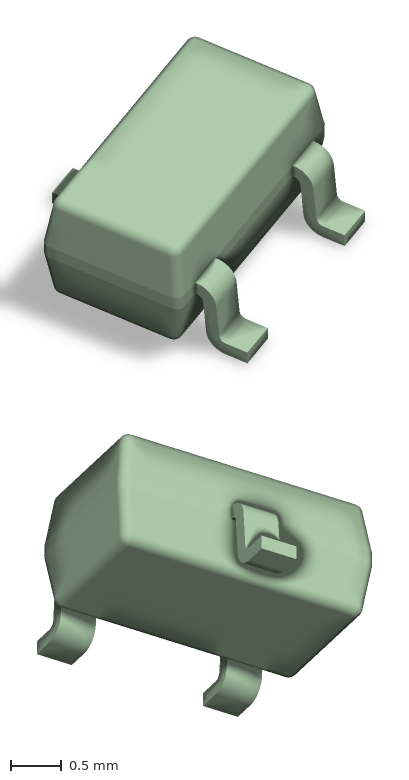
import cadquery as cq
import math


BODY_WIDTH = 1.6
BODY_LENGTH = 2.9
BODY_TOP = 1.4
STANDOFF = 0.1
DRAFT_ANGLE = 8.0
BODY_FILLET = 0.1

LEAD_SPAN = 2.8
LEAD_WIDTH = 0.4
LEAD_THICKNESS = 0.15
FOOT_FLAT = 0.25
INNER_BEND_RADIUS = LEAD_THICKNESS / 2
LEG_LEAN = 5.0
LEAD_PITCH = 0.95
LEAD_EMBED = 0.2

MARK_DIAMETER = 0.25
MARK_X = 0.35
MARK_Y = -0.83
MARK_DEPTH = 0.05

MID_Z = (BODY_TOP + STANDOFF) / 2
BAND_TOP = MID_Z + LEAD_THICKNESS / 2
BAND_BOTTOM = MID_Z - LEAD_THICKNESS / 2


def make_body():
    """Straight middle band with a drafted block above and below, all outer edges rounded."""
    drafted_height = BODY_TOP - BAND_TOP
    band = (
        cq.Workplane("XY", origin=(0, 0, BAND_BOTTOM))
        .rect(BODY_WIDTH, BODY_LENGTH)
        .extrude(LEAD_THICKNESS)
    )
    upper = (
        cq.Workplane("XY", origin=(0, 0, BAND_TOP))
        .rect(BODY_WIDTH, BODY_LENGTH)
        .extrude(drafted_height, taper=DRAFT_ANGLE)
    )
    lower = upper.mirror("XY", (0, 0, MID_Z))
    body = band.union(upper).union(lower)
    return body.edges("(not #Z) or >Z or <Z").fillet(BODY_FILLET)


def point_on_circle(center, radius, angle):
    """Point (x, z) on a circle; the angle is in degrees, counter-clockwise from +X."""
    x = center[0] + radius * math.cos(math.radians(angle))
    z = center[1] + radius * math.sin(math.radians(angle))
    return (x, z)


def make_lead():
    """Gull-wing lead leaving the +X side, centred on Y = 0."""
    root_x = BODY_WIDTH / 2 - LEAD_EMBED
    tip_x = LEAD_SPAN / 2
    inner = INNER_BEND_RADIUS
    outer = INNER_BEND_RADIUS + LEAD_THICKNESS
    foot_center = (tip_x - FOOT_FLAT, LEAD_THICKNESS + inner)
    shoulder_center_z = BAND_BOTTOM - inner

    lean = math.radians(LEG_LEAN)
    radius_sum = inner + outer
    center_rise = shoulder_center_z - foot_center[1]
    center_run = (radius_sum + center_rise * math.sin(lean)) / math.cos(lean)
    shoulder_center = (foot_center[0] - center_run, shoulder_center_z)

    shoulder_leg = LEG_LEAN
    shoulder_middle = (90 + shoulder_leg) / 2
    foot_leg = 180 + LEG_LEAN
    foot_middle = (270 + foot_leg) / 2

    def on_shoulder(radius, angle):
        return point_on_circle(shoulder_center, radius, angle)

    def on_foot(radius, angle):
        return point_on_circle(foot_center, radius, angle)

    return (
        cq.Workplane("XZ", origin=(0, LEAD_WIDTH / 2, 0))
        .moveTo(root_x, BAND_TOP)
        .lineTo(shoulder_center[0], BAND_TOP)
        .threePointArc(on_shoulder(outer, shoulder_middle), on_shoulder(outer, shoulder_leg))
        .lineTo(*on_foot(inner, foot_leg))
        .threePointArc(on_foot(inner, foot_middle), (foot_center[0], LEAD_THICKNESS))
        .lineTo(tip_x, LEAD_THICKNESS)
        .lineTo(tip_x, 0)
        .lineTo(foot_center[0], 0)
        .threePointArc(on_foot(outer, foot_middle), on_foot(outer, foot_leg))
        .lineTo(*on_shoulder(inner, shoulder_leg))
        .threePointArc(on_shoulder(inner, shoulder_middle), (shoulder_center[0], BAND_BOTTOM))
        .lineTo(root_x, BAND_BOTTOM)
        .close()
        .extrude(LEAD_WIDTH)
    )


def add_pin_mark(part):
    """Set a flush disc into the top face so that its round outline remains as an edge."""
    disc = (
        cq.Workplane("XY", origin=(MARK_X, MARK_Y, BODY_TOP - MARK_DEPTH))
        .circle(MARK_DIAMETER / 2)
        .extrude(MARK_DEPTH)
    )
    return part.union(disc, clean=False)


lead = make_lead()
result = make_body()
for pair_y in (-LEAD_PITCH, LEAD_PITCH):
    result = result.union(lead.translate((0, pair_y, 0)))
result = result.union(lead.mirror("YZ"))
result = add_pin_mark(result)